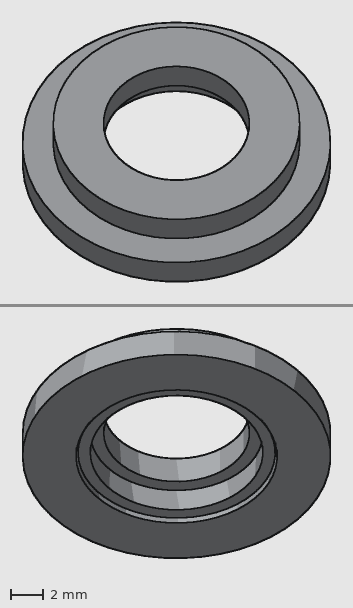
import cadquery as cq

FLANGE_DIAMETER = 19.05
COLLAR_DIAMETER = 15.24
FLANGE_HEIGHT = 1.9
COLLAR_HEIGHT = 1.9
BORE_DIAMETER = 9.01
POCKET_DIAMETER = 12.44

INSERT_OUTER_DIAMETER = 12.2
INSERT_INNER_DIAMETER = 10.67
INSERT_HEIGHT = 1.6


def make_ring(outer_diameter, inner_diameter, height, base_z):
    """Flat ring centred on Z, standing on base_z."""
    return (
        cq.Workplane("XY", origin=(0, 0, base_z))
        .circle(outer_diameter / 2)
        .circle(inner_diameter / 2)
        .extrude(height)
    )


def make_housing():
    """One solid: the flange around the pocket, and the collar roofing the pocket over."""
    flange = make_ring(FLANGE_DIAMETER, POCKET_DIAMETER, FLANGE_HEIGHT, 0)
    collar = make_ring(COLLAR_DIAMETER, BORE_DIAMETER, COLLAR_HEIGHT, FLANGE_HEIGHT)
    return flange.union(collar)


def make_insert():
    """Ring seated against the pocket roof, its lower face recessed in the flange."""
    base_z = FLANGE_HEIGHT - INSERT_HEIGHT
    return make_ring(INSERT_OUTER_DIAMETER, INSERT_INNER_DIAMETER, INSERT_HEIGHT, base_z)


housing = make_housing()
insert = make_insert()

result = cq.Compound.makeCompound([housing.val(), insert.val()])